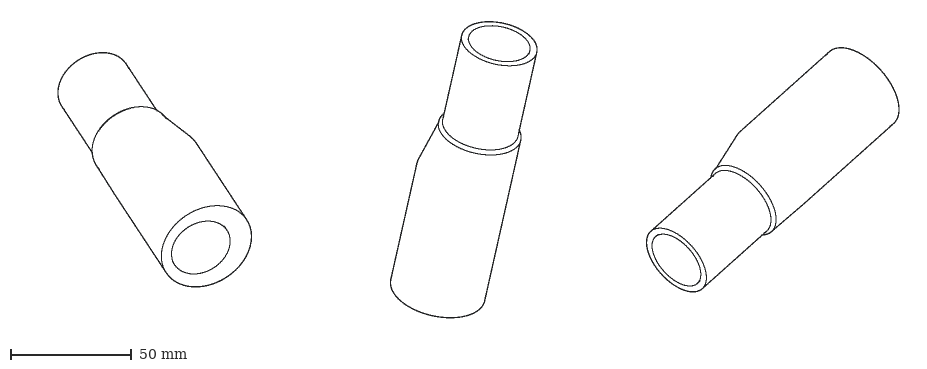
import cadquery as cq

total_length = 125.0
large_diameter = 40.0
small_diameter = 32.0
collar_diameter = 35.0
bore_diameter = 26.0

collar_start = 42.5
chamfer_length = (collar_diameter - small_diameter) / 2
chamfer_end = collar_start + chamfer_length
taper_start = 45.5
taper_end = 66.0

small_axis_y = (collar_diameter - large_diameter) / 2


def circle_at(x, axis_y, diameter):
    """Circle normal to X, at station x, centred on y = axis_y."""
    return cq.Workplane("YZ", origin=(x, axis_y, 0)).circle(diameter / 2)


def cylinder(x_start, x_end, axis_y, diameter):
    return circle_at(x_start, axis_y, diameter).extrude(x_end - x_start)


def make_collar():
    """Short cylinder at the small end of the taper, chamfered down to the small pipe."""
    collar = cylinder(collar_start, taper_start, small_axis_y, collar_diameter)
    return collar.faces("<X").chamfer(chamfer_length)


def make_taper():
    """Eccentric cone from the collar to the large pipe."""
    small_end = circle_at(taper_start, small_axis_y, collar_diameter).wires().val()
    large_end = circle_at(taper_end, 0, large_diameter).wires().val()
    return cq.Workplane(cq.Solid.makeLoft([small_end, large_end], True))


small_pipe = cylinder(0, collar_start, small_axis_y, small_diameter)
large_pipe = cylinder(taper_end, total_length, 0, large_diameter)
bore = cylinder(0, total_length, small_axis_y, bore_diameter)

result = small_pipe.union(make_collar()).union(make_taper()).union(large_pipe).cut(bore)